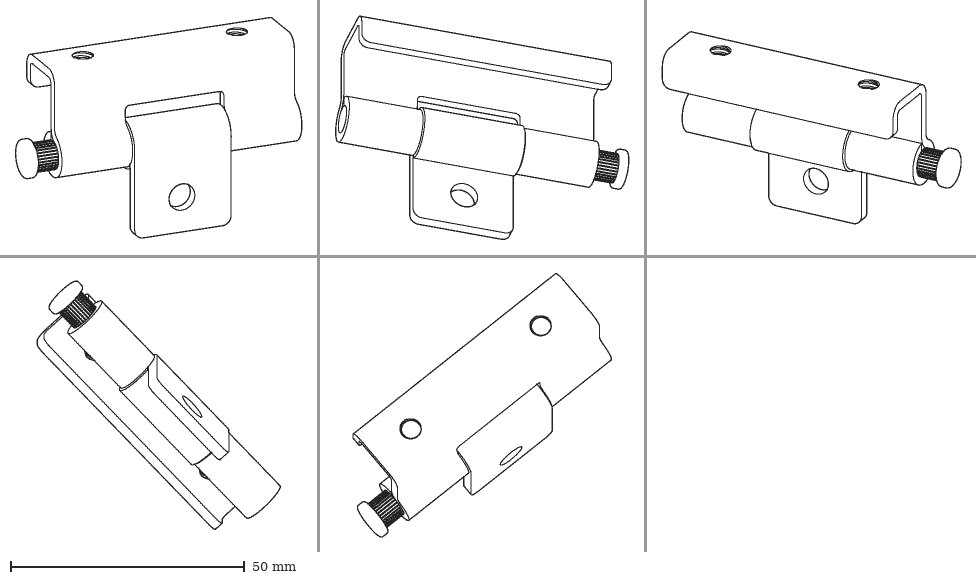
import cadquery as cq
import math


total_length = 63.0
pin_radius = 6.0 / 2
head_radius = 8.55 / 2
head_length = 2.0
head_fillet = 0.5
knurl_tip_radius = 6.5 / 2
knurl_teeth = 30
knurl_land_share = 0.7

leaf_length = 56.0
leaf_thickness = 2.0
channel_width = 15.0
channel_top = 19.0
lip_height = 8.0
lip_corner_radius = 2.0
bend_inner_radius = 1.0
curl_fillet = 2.2
window_length = 23.0
window_depth = 10.0
window_corner_radius = 1.0

screw_hole_end_distance = 10.0
screw_minor_radius = 4.2 / 2
screw_major_radius = 4.9 / 2
thread_pitch = 1.4
groove_width = 1.2
groove_overlap = 0.05

plate_thickness = 2.5
plate_length = 22.5
plate_bottom = -20.0
plate_corner_radius = 2.0
plate_hole_diameter = 6.0
plate_hole_bottom_distance = 8.0
plate_hole_back_distance = 28.2
plate_curl_gap = 0.25

bend_outer_radius = bend_inner_radius + leaf_thickness
web_right = leaf_thickness / 2
web_left = -web_right
channel_left = web_right - channel_width
channel_barrel_radius = pin_radius + leaf_thickness
plate_barrel_radius = pin_radius + plate_thickness
middle_y = leaf_length / 2
window_top = channel_top - window_depth
neck_length = total_length - leaf_length - head_length


def on_circle(radius, angle, center=(0.0, 0.0)):
    """Point on a circle in the XZ plane, with the angle in radians from +X."""
    return (center[0] + radius * math.cos(angle), center[1] + radius * math.sin(angle))


def extrude_along_y(outline, start_y, length):
    """Extrude a closed XZ outline from start_y toward +Y."""
    return outline.extrude(-length).translate((0, start_y, 0))


def box_between(x_range, y_range, z_range):
    """Axis-aligned box given by its limits."""
    return cq.Workplane("XY").box(
        x_range[1] - x_range[0],
        y_range[1] - y_range[0],
        z_range[1] - z_range[0],
        centered=False,
    ).translate((x_range[0], y_range[0], z_range[0]))


def channel_sheet():
    """Bent sheet: lip, top, web, and the curl that wraps around the pin."""
    bend_x = web_right + curl_fillet
    bend_z = math.sqrt((channel_barrel_radius + curl_fillet) ** 2 - bend_x ** 2)
    bend_center = (bend_x, bend_z)
    tangent_angle = math.atan2(bend_z, bend_x)
    arc_middle_angle = math.pi + tangent_angle / 2
    bend_back_radius = curl_fillet + leaf_thickness

    curl_end_outer = (web_left, math.sqrt(channel_barrel_radius ** 2 - web_left ** 2))
    curl_end_inner = (web_left, math.sqrt(pin_radius ** 2 - web_left ** 2))
    curl_middle_angle = -math.pi / 4

    top_inner = channel_top - leaf_thickness
    lip_inner = channel_left + leaf_thickness
    lip_bottom = channel_top - lip_height
    outline = (
        cq.Workplane("XZ")
        .moveTo(channel_left, lip_bottom)
        .lineTo(channel_left, channel_top - bend_outer_radius)
        .radiusArc((channel_left + bend_outer_radius, channel_top), bend_outer_radius)
        .lineTo(web_right - bend_outer_radius, channel_top)
        .radiusArc((web_right, channel_top - bend_outer_radius), bend_outer_radius)
        .lineTo(web_right, bend_z)
        .threePointArc(
            on_circle(curl_fillet, arc_middle_angle, bend_center),
            on_circle(channel_barrel_radius, tangent_angle),
        )
        .threePointArc(on_circle(channel_barrel_radius, curl_middle_angle), curl_end_outer)
        .lineTo(*curl_end_inner)
        .threePointArc(
            on_circle(pin_radius, curl_middle_angle),
            on_circle(pin_radius, tangent_angle),
        )
        .threePointArc(
            on_circle(bend_back_radius, arc_middle_angle, bend_center),
            (web_left, bend_z),
        )
        .lineTo(web_left, top_inner - bend_inner_radius)
        .radiusArc((web_left - bend_inner_radius, top_inner), -bend_inner_radius)
        .lineTo(lip_inner + bend_inner_radius, top_inner)
        .radiusArc((lip_inner, top_inner - bend_inner_radius), -bend_inner_radius)
        .lineTo(lip_inner, lip_bottom)
        .close()
    )
    sheet = extrude_along_y(outline, 0, leaf_length)
    lip_middle_x = (channel_left + lip_inner) / 2
    for end_y in (0, leaf_length):
        corner = cq.selectors.NearestToPointSelector((lip_middle_x, end_y, lip_bottom))
        sheet = sheet.edges("|X").edges(corner).fillet(lip_corner_radius)
    return sheet


def barrel_window():
    """Cutter for the gap between the two barrels of the channel leaf."""
    clearance = 2 * channel_barrel_radius
    window = box_between(
        (-clearance, clearance),
        (middle_y - window_length / 2, middle_y + window_length / 2),
        (-clearance, window_top),
    )
    return window.edges("|X and >Z").fillet(window_corner_radius)


def threaded_hole():
    """Cutters for a screw hole with its top at z = 0: the thread groove, then the bore."""
    turns_below = 2
    turns_above = 0.5
    start_angle = -90
    path = cq.Wire.makeHelix(
        thread_pitch, (turns_below + turns_above) * thread_pitch, screw_minor_radius
    )
    inner_radius = screw_minor_radius - groove_overlap
    groove = (
        cq.Workplane("XZ")
        .moveTo(inner_radius, -groove_width / 2)
        .lineTo(screw_major_radius, 0)
        .lineTo(inner_radius, groove_width / 2)
        .close()
        .sweep(cq.Workplane(path), isFrenet=True)
        .rotate((0, 0, 0), (0, 0, 1), start_angle)
        .translate((0, 0, -turns_below * thread_pitch))
    )
    bore = cq.Workplane("XY").circle(screw_minor_radius).extrude(-leaf_thickness)
    return groove, bore


def make_channel_leaf():
    """Channel leaf with its barrel window and two threaded holes."""
    leaf = channel_sheet().cut(barrel_window())
    hole_x = channel_left + channel_width / 2
    for hole_y in (screw_hole_end_distance, leaf_length - screw_hole_end_distance):
        for cutter in threaded_hole():
            leaf = leaf.cut(cutter.translate((hole_x, hole_y, channel_top)))
    return leaf


def make_swinging_leaf():
    """Swinging leaf: plate, curled barrel between the channel barrels, and one hole."""
    curl_end_x = pin_radius - plate_curl_gap
    curl_end_outer = (curl_end_x, -math.sqrt(plate_barrel_radius ** 2 - curl_end_x ** 2))
    curl_end_inner = (curl_end_x, -math.sqrt(pin_radius ** 2 - curl_end_x ** 2))
    outline = (
        cq.Workplane("XZ")
        .moveTo(plate_barrel_radius, plate_bottom)
        .lineTo(plate_barrel_radius, 0)
        .threePointArc((-plate_barrel_radius, 0), curl_end_outer)
        .lineTo(*curl_end_inner)
        .threePointArc((-pin_radius, 0), (pin_radius, 0))
        .lineTo(pin_radius, plate_bottom)
        .close()
    )
    leaf = extrude_along_y(outline, middle_y - plate_length / 2, plate_length)
    leaf = leaf.faces("<Z").edges("|X").fillet(plate_corner_radius)
    hole = (
        cq.Workplane("YZ")
        .center(leaf_length - plate_hole_back_distance, plate_bottom + plate_hole_bottom_distance)
        .circle(plate_hole_diameter / 2)
        .extrude(2 * plate_barrel_radius)
    )
    return leaf.cut(hole)


def make_pin():
    """Pin with a knurled neck and a rounded head at its front end."""
    shaft_length = neck_length + leaf_length
    shaft = extrude_along_y(cq.Workplane("XZ").circle(pin_radius), -neck_length, shaft_length)

    tooth_angle = 2 * math.pi / knurl_teeth
    half_land = knurl_land_share * tooth_angle / 2
    profile = []
    for tooth in range(knurl_teeth):
        land_angle = math.pi / 2 + tooth * tooth_angle
        profile.append(on_circle(knurl_tip_radius, land_angle - half_land))
        profile.append(on_circle(knurl_tip_radius, land_angle + half_land))
        profile.append(on_circle(pin_radius, land_angle + tooth_angle / 2))
    knurl = extrude_along_y(cq.Workplane("XZ").polyline(profile).close(), -neck_length, neck_length)

    head = extrude_along_y(
        cq.Workplane("XZ").circle(head_radius), -neck_length - head_length, head_length
    )
    head = head.edges().fillet(head_fillet)
    return shaft.union(knurl).union(head)


channel_leaf = make_channel_leaf()
swinging_leaf = make_swinging_leaf()
pin = make_pin()

result = cq.Compound.makeCompound([
    channel_leaf.solids().val(),
    swinging_leaf.solids().val(),
    pin.solids().val(),
])